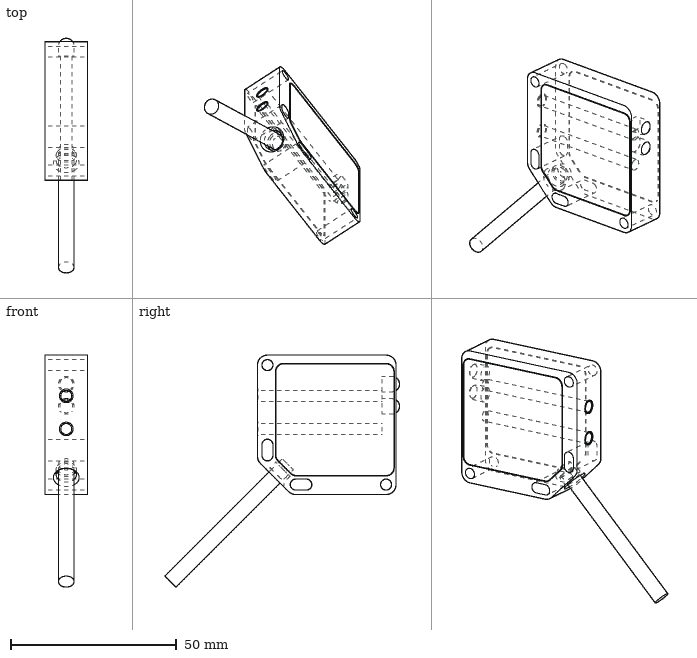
import cadquery as cq
import math

WIDTH = 12.95
DEPTH = 41.8
HEIGHT = 42.1
CORNER_RADIUS = 3.05
CORNER_CUT = 10.3
FRONT = -DEPTH / 2
BACK = DEPTH / 2
TOP = HEIGHT / 2
BOTTOM = -HEIGHT / 2

MOUNT_DIAMETER = 3.25
MOUNT_INSET = 3.05
SLOT_LENGTH = 6.45
SLOT_SPACING = 25.6

PANEL_BACK_MARGIN = 0.6
PANEL_FRONT_MARGIN = 5.45
PANEL_TOP_MARGIN = 2.55
PANEL_BOTTOM_MARGIN = 5.65
PANEL_CORNER_CUT = 5.25
PANEL_RADIUS = 2.4
GROOVE_WIDTH = 0.15
GROOVE_DEPTH = 0.15

PIN_RADIUS = 2.35
PIN_PROTRUSION = 1.05
PIN_DEPTH = 4.25
PIN_DROPS = (8.8, 15.5)

BORE_DIAMETER = 3.3
COUNTERBORE_DIAMETER = 4.1
COUNTERBORE_DEPTH = 0.2
BORE_DROPS = (12.3, 22.3)

CABLE_DIAMETER = 4.75
CABLE_RADIUS = CABLE_DIAMETER / 2
CABLE_LENGTH = 44.4
CABLE_INSERTION = 5.65

MOUTH_RADIUS = 3.9
MOUTH_DEPTH = 1.1
ENTRY_RADIUS = 3.05
ENTRY_DEPTH = 3.55


def cut_corner_block(front, back, bottom, top, corner_cut, radius, thickness):
    """Rounded plate that starts at X = 0, with its front lower corner cut off."""
    outline = [
        (back, top),
        (back, bottom),
        (front + corner_cut, bottom),
        (front, bottom + corner_cut),
        (front, top),
    ]
    plate = cq.Workplane("YZ").polyline(outline).close().extrude(thickness)
    return plate.edges("|X").fillet(radius)


def panel_block(inset):
    """Block as deep as the groove, whose outline lies inside the groove's outer edge by the inset."""
    cut_change = inset * (2 - math.sqrt(2))
    return cut_corner_block(
        FRONT + PANEL_FRONT_MARGIN + inset,
        BACK - PANEL_BACK_MARGIN - inset,
        BOTTOM + PANEL_BOTTOM_MARGIN + inset,
        TOP - PANEL_TOP_MARGIN - inset,
        PANEL_CORNER_CUT - cut_change,
        PANEL_RADIUS - inset,
        GROOVE_DEPTH,
    )


def revolve_on_cable_axis(profile):
    """Solid of revolution on the cable axis, from (radius, distance outside the cut corner) points."""
    face_center = (0, FRONT + CORNER_CUT / 2, BOTTOM + CORNER_CUT / 2)
    axis_plane = cq.Plane(origin=face_center, xDir=(1, 0, 0), normal=(0, 1, -1))
    return cq.Workplane(axis_plane).polyline(profile).close().revolve(360, (0, 0, 0), (0, 1, 0))


def front_cylinder(diameter, drop, length):
    """Cylinder on a front hole's axis, running back from the front face."""
    start = cq.Vector(0, FRONT, TOP - drop)
    return cq.Workplane(cq.Solid.makeCylinder(diameter / 2, length, start, cq.Vector(0, 1, 0)))


def make_pin(drop):
    """Indicator pin: a cylinder along Y with a hemispherical outer end."""
    inner_end = BACK - PIN_DEPTH
    tip = BACK + PIN_PROTRUSION
    shoulder = tip - PIN_RADIUS
    arc_offset = PIN_RADIUS * math.sqrt(0.5)
    profile = (
        cq.Workplane("XY")
        .moveTo(0, inner_end)
        .lineTo(PIN_RADIUS, inner_end)
        .lineTo(PIN_RADIUS, shoulder)
        .threePointArc((arc_offset, shoulder + arc_offset), (0, tip))
        .close()
    )
    return profile.revolve(360, (0, 0, 0), (0, 1, 0)).translate((0, 0, TOP - drop))


def make_cable():
    return revolve_on_cable_axis([
        (0, -CABLE_INSERTION),
        (CABLE_RADIUS, -CABLE_INSERTION),
        (CABLE_RADIUS, CABLE_LENGTH),
        (0, CABLE_LENGTH),
    ])


def mounting_cutters():
    """Two round holes at opposite corners, and a slot on each edge beside the cut corner."""
    front_line = FRONT + MOUNT_INSET
    back_line = BACK - MOUNT_INSET
    top_line = TOP - MOUNT_INSET
    bottom_line = BOTTOM + MOUNT_INSET
    plane = cq.Workplane("YZ", origin=(-WIDTH / 2, 0, 0))
    holes = plane.pushPoints([(front_line, top_line), (back_line, bottom_line)])
    upright_slot = plane.center(front_line, top_line - SLOT_SPACING)
    level_slot = plane.center(back_line - SLOT_SPACING, bottom_line)
    return [
        holes.circle(MOUNT_DIAMETER / 2).extrude(WIDTH),
        upright_slot.slot2D(SLOT_LENGTH, MOUNT_DIAMETER, 90).extrude(WIDTH),
        level_slot.slot2D(SLOT_LENGTH, MOUNT_DIAMETER).extrude(WIDTH),
    ]


def groove_cutters():
    """The panel groove on both side faces."""
    groove = panel_block(0).cut(panel_block(GROOVE_WIDTH))
    return [
        groove.translate((-WIDTH / 2, 0, 0)),
        groove.translate((WIDTH / 2 - GROOVE_DEPTH, 0, 0)),
    ]


def front_hole_cutters():
    cutters = []
    for drop in BORE_DROPS:
        cutters.append(front_cylinder(BORE_DIAMETER, drop, DEPTH - PIN_DEPTH))
        cutters.append(front_cylinder(COUNTERBORE_DIAMETER, drop, COUNTERBORE_DEPTH))
    return cutters


def cable_entry_cutter():
    return revolve_on_cable_axis([
        (0, -ENTRY_DEPTH),
        (ENTRY_RADIUS, -ENTRY_DEPTH),
        (ENTRY_RADIUS, -MOUTH_DEPTH),
        (MOUTH_RADIUS, 0),
        (0, 0),
    ])


def make_housing(inserts):
    """Housing with all its openings, and a matching recess for each inserted body."""
    block = cut_corner_block(FRONT, BACK, BOTTOM, TOP, CORNER_CUT, CORNER_RADIUS, WIDTH)
    housing = block.translate((-WIDTH / 2, 0, 0))
    cutters = mounting_cutters() + groove_cutters() + front_hole_cutters() + [cable_entry_cutter()]
    for cutter in cutters + inserts:
        housing = housing.cut(cutter)
    return housing


cable = make_cable()
pins = [make_pin(drop) for drop in PIN_DROPS]
housing = make_housing([cable] + pins)

result = cq.Compound.makeCompound([housing.val(), cable.val(), *[pin.val() for pin in pins]])